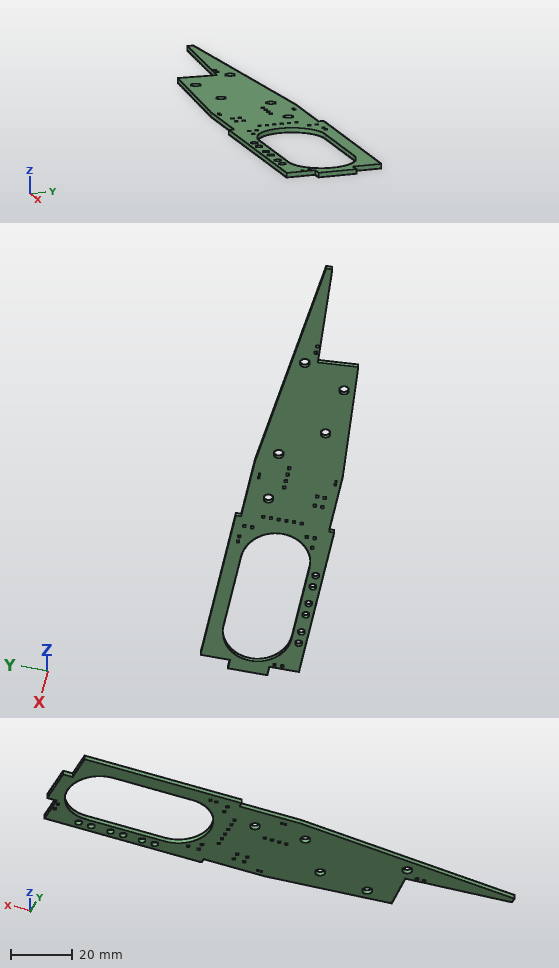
import cadquery as cq

length = 160.7
width = 33.0
thickness = 1.6

body_start = 101.3
body_end = 157.4
tab_width = 13.2
neck_width = 29.4
taper_end = 79.4
tip_top = 7.5
tip_bottom = 5.5
notch_top = (36.8, 2.5)
notch_bottom = (35.8, -10.8)

window_start = 105.3
window_end = 156.2
window_width = 22.8

mount_diameter = 3.2
row_diameter = 2.3
lead_diameter = 1.0
header_diameter = 0.9
pin_diameter = 0.6

mount_points = [(38.0, 6.8), (74.7, 7.7), (92.6, 7.4), (63.7, -5.6), (45.8, -8.0)]

row_y = -14.0
row_pair_starts = [119.1, 130.4, 141.8]
row_pair_spacing = 4.5

hole_pitch = 2.5
header_start = (100.0, 7.5)
header_count = 6
sensor_start = (79.5, 3.2)
sensor_count = 4
tail_start = (30.7, 4.0)
end_start = (156.2, -8.0)
upper_start = (104.8, 12.9)
lower_start = (104.8, -8.0)
lower_side_x = 108.7
block_start = (88.5, -8.0)
block_column_spacing = 3.7

pin_spacing = 1.3
pin_pair_starts = [(83.9, 12.2), (81.5, -12.9)]
body_pair_start = (109.1, 13.7)
body_pair_spacing = 2.1


def hole_row(start, step_x, step_y, count):
    """Return evenly spaced points, beginning at start."""
    x, y = start
    return [(x + i * step_x, y + i * step_y) for i in range(count)]


def make_plate():
    """Extrude the stepped body with its end tab and one-sided tapering tail."""
    half_width = width / 2
    half_neck = neck_width / 2
    half_tab = tab_width / 2
    outline = [
        (0, tip_bottom),
        (0, tip_top),
        (taper_end, half_neck),
        (body_start, half_neck),
        (body_start, half_width),
        (body_end, half_width),
        (body_end, half_tab),
        (length, half_tab),
        (length, -half_tab),
        (body_end, -half_tab),
        (body_end, -half_width),
        (body_start, -half_width),
        (body_start, -half_neck),
        (taper_end, -half_neck),
        notch_bottom,
        notch_top,
    ]
    return cq.Workplane("XY").polyline(outline).close().extrude(thickness)


def make_window():
    """Make the cutter for the window with semicircular ends."""
    center_x = (window_start + window_end) / 2
    return (
        cq.Workplane("XY")
        .center(center_x, 0)
        .slot2D(window_end - window_start, window_width)
        .extrude(thickness)
    )


def drill(plate, points, diameter):
    """Cut through holes of one diameter at all the points."""
    holes = cq.Workplane("XY").pushPoints(points).circle(diameter / 2).extrude(thickness)
    return plate.cut(holes)


row_points = []
for pair_x in row_pair_starts:
    row_points += hole_row((pair_x, row_y), row_pair_spacing, 0, 2)

header_points = hole_row(header_start, 0, -hole_pitch, header_count)
header_points += hole_row(end_start, 0, -hole_pitch, 2)

lead_points = hole_row(sensor_start, hole_pitch, 0, sensor_count)
lead_points += hole_row(tail_start, hole_pitch, 0, 2)
lead_points += hole_row(upper_start, 0, -hole_pitch, 2)
lead_points += hole_row(lower_start, 0, -hole_pitch, 2)
lead_points.append((lower_side_x, lower_start[1] - hole_pitch))
for block_point in hole_row(block_start, block_column_spacing, 0, 2):
    lead_points += hole_row(block_point, 0, -hole_pitch, 2)

pin_points = []
for pair_start in pin_pair_starts:
    pin_points += hole_row(pair_start, pin_spacing, 0, 2)

body_pair_points = hole_row(body_pair_start, body_pair_spacing, 0, 2)

result = make_plate().cut(make_window())
result = drill(result, mount_points, mount_diameter)
result = drill(result, row_points, row_diameter)
result = drill(result, lead_points, lead_diameter)
result = drill(result, header_points + body_pair_points, header_diameter)
result = drill(result, pin_points, pin_diameter)